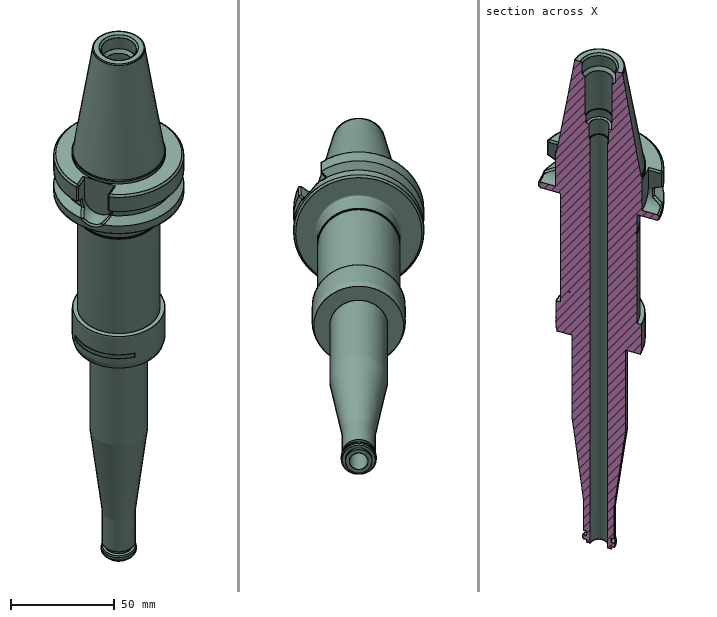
import cadquery as cq
import math


GAUGE_DIAMETER = 44.45
TAPER_RATIO = 7 / 24
TAPER_LENGTH = 65.4
TAPER_END_CHAMFER = 0.5

SHOULDER_DIAMETER = 45.3
SHOULDER_CHAMFER = (SHOULDER_DIAMETER - GAUGE_DIAMETER) / 2

FLANGE_DIAMETER = 63.0
FLANGE_TOP = -2.0
FLANGE_BOTTOM = -27.0
FLANGE_CHAMFER = 1.0
GROOVE_DIAMETER = 54.0
GROOVE_CENTRE = -16.6
GROOVE_FLOOR_WIDTH = 4.0
GROOVE_FLANK_ANGLE = 30.0

SLOT_WIDTH = 15.5
SLOT_FLOOR_DISTANCE = 22.7
SLOT_BOTTOM = -22.9
SLOT_RIM_CHAMFER = 0.9

BODY_DIAMETER = 40.0
BODY_ROOT_FILLET = 1.0
BODY_GROOVE_DIAMETER = 39.4
BODY_GROOVE_TOP = -38.7
BODY_GROOVE_WIDTH = 0.8
COLLAR_DIAMETER = 45.0
COLLAR_TOP = -99.5
COLLAR_BOTTOM = -120.0
COLLAR_TOP_CHAMFER = 0.25
COLLAR_TOP_CHAMFER_HEIGHT = 0.8
COLLAR_BOTTOM_CHAMFER = 0.8
COLLAR_BOTTOM_CHAMFER_HEIGHT = 3.0

RECESS_WIDTH = 31.6
RECESS_TOP = -111.0
RECESS_BOTTOM = -113.4
RECESS_DEPTH = 0.1

SHANK_DIAMETER = 28.0
SHANK_BOTTOM = -176.0
NOSE_DIAMETER = 16.0
NOSE_TOP = -229.0
NECK_DIAMETER = 13.0
NECK_TOP = -248.7
RING_TOP = -251.2
RING_BOTTOM = -254.4
RING_DIAMETER = 17.0
RING_CHAMFER = 0.5
RING_CHAMFER_HEIGHT = 0.8
TIP_BOTTOM = -256.0

THROUGH_BORE_DIAMETER = 9.0
RELIEF_BORE_DIAMETER = 10.0
RELIEF_BORE_DEPTH = 50.0
CORE_BORE_DIAMETER = 13.0
CORE_BORE_DEPTH = 40.0
THREAD_BORE_DIAMETER = 13.84
THREAD_BORE_DEPTH = 35.0
PILOT_BORE_DIAMETER = 17.0
PILOT_BORE_DEPTH = 8.0
PILOT_CHAMFER = 1.0


def turned_body():
    """Revolve the outer half-profile, listed from the spindle end down to the tip."""
    taper_end_radius = (GAUGE_DIAMETER - TAPER_RATIO * TAPER_LENGTH) / 2
    flange_radius = FLANGE_DIAMETER / 2
    groove_radius = GROOVE_DIAMETER / 2
    groove_floor_half = GROOVE_FLOOR_WIDTH / 2
    flank_height = (flange_radius - groove_radius) * math.tan(math.radians(GROOVE_FLANK_ANGLE))
    groove_mouth_half = groove_floor_half + flank_height
    body_radius = BODY_DIAMETER / 2
    collar_radius = COLLAR_DIAMETER / 2
    ring_radius = RING_DIAMETER / 2

    upper_profile = [
        (0, TAPER_LENGTH),
        (taper_end_radius - TAPER_END_CHAMFER, TAPER_LENGTH),
        (taper_end_radius, TAPER_LENGTH - TAPER_END_CHAMFER),
        (GAUGE_DIAMETER / 2, 0),
        (SHOULDER_DIAMETER / 2, -SHOULDER_CHAMFER),
        (SHOULDER_DIAMETER / 2, FLANGE_TOP),
        (flange_radius - FLANGE_CHAMFER, FLANGE_TOP),
        (flange_radius, FLANGE_TOP - FLANGE_CHAMFER),
        (flange_radius, GROOVE_CENTRE + groove_mouth_half),
        (groove_radius, GROOVE_CENTRE + groove_floor_half),
        (groove_radius, GROOVE_CENTRE - groove_floor_half),
        (flange_radius, GROOVE_CENTRE - groove_mouth_half),
        (flange_radius, FLANGE_BOTTOM + FLANGE_CHAMFER),
        (flange_radius - FLANGE_CHAMFER, FLANGE_BOTTOM),
    ]
    root_fillet_start = (body_radius + BODY_ROOT_FILLET, FLANGE_BOTTOM)
    root_fillet_end = (body_radius, FLANGE_BOTTOM - BODY_ROOT_FILLET)
    lower_profile = [
        (body_radius, BODY_GROOVE_TOP),
        (BODY_GROOVE_DIAMETER / 2, BODY_GROOVE_TOP),
        (BODY_GROOVE_DIAMETER / 2, BODY_GROOVE_TOP - BODY_GROOVE_WIDTH),
        (body_radius, BODY_GROOVE_TOP - BODY_GROOVE_WIDTH),
        (body_radius, COLLAR_TOP),
        (collar_radius - COLLAR_TOP_CHAMFER, COLLAR_TOP),
        (collar_radius, COLLAR_TOP - COLLAR_TOP_CHAMFER_HEIGHT),
        (collar_radius, COLLAR_BOTTOM + COLLAR_BOTTOM_CHAMFER_HEIGHT),
        (collar_radius - COLLAR_BOTTOM_CHAMFER, COLLAR_BOTTOM),
        (SHANK_DIAMETER / 2, COLLAR_BOTTOM),
        (SHANK_DIAMETER / 2, SHANK_BOTTOM),
        (NOSE_DIAMETER / 2, NOSE_TOP),
        (NOSE_DIAMETER / 2, NECK_TOP),
        (NECK_DIAMETER / 2, NECK_TOP),
        (NECK_DIAMETER / 2, RING_TOP),
        (ring_radius - RING_CHAMFER, RING_TOP),
        (ring_radius, RING_TOP - RING_CHAMFER_HEIGHT),
        (ring_radius, RING_BOTTOM + RING_CHAMFER_HEIGHT),
        (ring_radius - RING_CHAMFER, RING_BOTTOM),
        (NECK_DIAMETER / 2, RING_BOTTOM),
        (NECK_DIAMETER / 2, TIP_BOTTOM),
        (0, TIP_BOTTOM),
    ]
    outline = cq.Workplane("XZ").polyline(upper_profile).lineTo(*root_fillet_start)
    outline = outline.radiusArc(root_fillet_end, -BODY_ROOT_FILLET)
    for point in lower_profile:
        outline = outline.lineTo(*point)
    return outline.close().revolve(360, (0, 0, 0), (0, 1, 0))


def bore_step(diameter, depth):
    """Cylinder on the axis reaching the given depth below the spindle end."""
    return cq.Workplane("XY", origin=(0, 0, TAPER_LENGTH - depth)).circle(diameter / 2).extrude(depth)


def bore_cone(lower_diameter, upper_diameter, bottom):
    """45 degree cone on the axis, widening upwards from the height of its lower end."""
    lower_radius = lower_diameter / 2
    upper_radius = upper_diameter / 2
    height = upper_radius - lower_radius
    return cq.Workplane(cq.Solid.makeCone(lower_radius, upper_radius, height, cq.Vector(0, 0, bottom)))


def axial_bore():
    """Stepped through hole, with 45 degree cones at the mouth and under the pilot bore."""
    bore = bore_step(THROUGH_BORE_DIAMETER, TAPER_LENGTH - TIP_BOTTOM)
    for diameter, depth in (
        (RELIEF_BORE_DIAMETER, RELIEF_BORE_DEPTH),
        (CORE_BORE_DIAMETER, CORE_BORE_DEPTH),
        (THREAD_BORE_DIAMETER, THREAD_BORE_DEPTH),
        (PILOT_BORE_DIAMETER, PILOT_BORE_DEPTH),
    ):
        bore = bore.union(bore_step(diameter, depth))
    thread_lead_height = (PILOT_BORE_DIAMETER - THREAD_BORE_DIAMETER) / 2
    thread_lead_bottom = TAPER_LENGTH - PILOT_BORE_DEPTH - thread_lead_height
    bore = bore.union(bore_cone(THREAD_BORE_DIAMETER, PILOT_BORE_DIAMETER, thread_lead_bottom))
    mouth_diameter = PILOT_BORE_DIAMETER + 2 * PILOT_CHAMFER
    return bore.union(bore_cone(PILOT_BORE_DIAMETER, mouth_diameter, TAPER_LENGTH - PILOT_CHAMFER))


def drive_slot():
    """Cutter for the +Y slot: flat floor, half-round lower end."""
    radius = SLOT_WIDTH / 2
    arc_centre = SLOT_BOTTOM + radius
    return (
        cq.Workplane("XZ", origin=(0, SLOT_FLOOR_DISTANCE, 0))
        .moveTo(-radius, 0)
        .lineTo(-radius, arc_centre)
        .threePointArc((0, SLOT_BOTTOM), (radius, arc_centre))
        .lineTo(radius, 0)
        .close()
        .extrude(-FLANGE_DIAMETER / 2)
    )


def slot_rim_edges(body):
    """Edges where the slot walls meet the outside of the flange."""
    tolerance = 0.01
    half_width = SLOT_WIDTH / 2
    arc_centre = SLOT_BOTTOM + half_width
    rim = []
    for edge in body.edges().vals():
        box = edge.BoundingBox()
        between_walls = box.xmin > -half_width - tolerance and box.xmax < half_width + tolerance
        outside_floor = abs(edge.Center().y) > SLOT_FLOOR_DISTANCE + tolerance
        in_flange = box.zmin > FLANGE_BOTTOM + FLANGE_CHAMFER and box.zmax < FLANGE_TOP + tolerance
        wall_to_arc_seam = abs(box.zmin - arc_centre) < tolerance and abs(box.zmax - arc_centre) < tolerance
        if between_walls and outside_floor and in_flange and not wall_to_arc_seam:
            rim.append(edge)
    return rim


def marking_recess():
    """Shallow band segment sunk into the -Y side of the collar."""
    height = RECESS_TOP - RECESS_BOTTOM
    base = cq.Workplane("XY", origin=(0, 0, RECESS_BOTTOM))
    block = base.center(0, -COLLAR_DIAMETER / 2).rect(RECESS_WIDTH, COLLAR_DIAMETER).extrude(height)
    core = cq.Workplane("XY", origin=(0, 0, RECESS_BOTTOM))
    core = core.circle(COLLAR_DIAMETER / 2 - RECESS_DEPTH).extrude(height)
    return block.cut(core)


result = turned_body().cut(axial_bore())
for angle in (0, 180):
    result = result.cut(drive_slot().rotate((0, 0, 0), (0, 0, 1), angle))
result = result.newObject(slot_rim_edges(result)).chamfer(SLOT_RIM_CHAMFER)
result = result.cut(marking_recess())